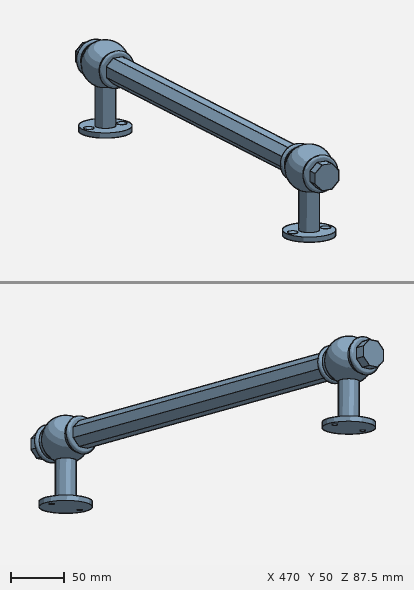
import cadquery as cq

bar_length = 470.0
mount_spacing = 400.0
bar_height = 65.0
bar_across_flats = 25.0

ball_radius = 22.5
collar_length = 50.0
neck_radius = 15.5
bead_radius = 2.6

post_radius = 10.0
base_radius = 25.0
base_thickness = 5.0

screw_offset = 17.5
screw_diameter = 5.0
countersink_diameter = 10.0
countersink_angle = 90


def octagonal_bar():
    """Full-length octagonal bar along X with flats on top and bottom."""
    return (
        cq.Workplane("YZ", origin=(-bar_length / 2, 0, bar_height))
        .polygon(8, bar_across_flats, circumscribed=True)
        .extrude(bar_length)
    )


def ball_and_collar(x):
    """Ball on the bar, with a neck ending in a rounded bead on each side."""
    half_length = collar_length / 2
    ball = cq.Workplane("XY").sphere(ball_radius).translate((x, 0, bar_height))
    bead_inner = half_length - 2 * bead_radius
    bead_middle = half_length - bead_radius
    bead_top = neck_radius + bead_radius
    collar = (
        cq.Workplane("XY")
        .moveTo(-half_length, 0)
        .lineTo(-half_length, neck_radius)
        .threePointArc((-bead_middle, bead_top), (-bead_inner, neck_radius))
        .lineTo(bead_inner, neck_radius)
        .threePointArc((bead_middle, bead_top), (half_length, neck_radius))
        .lineTo(half_length, 0)
        .close()
        .revolve(360, (0, 0, 0), (1, 0, 0))
        .translate((x, 0, bar_height))
    )
    return ball.union(collar)


def post_and_base(x):
    """Drilled base disc carrying the round post up to the bar axis."""
    base = (
        cq.Workplane("XY", origin=(x, 0, 0))
        .circle(base_radius)
        .extrude(base_thickness)
        .faces(">Z")
        .workplane()
        .pushPoints([(0, -screw_offset), (0, screw_offset)])
        .cskHole(screw_diameter, countersink_diameter, countersink_angle)
    )
    post = cq.Workplane("XY", origin=(x, 0, 0)).circle(post_radius).extrude(bar_height)
    return base.union(post)


result = octagonal_bar()
for mount_x in (-mount_spacing / 2, mount_spacing / 2):
    result = result.union(ball_and_collar(mount_x)).union(post_and_base(mount_x))